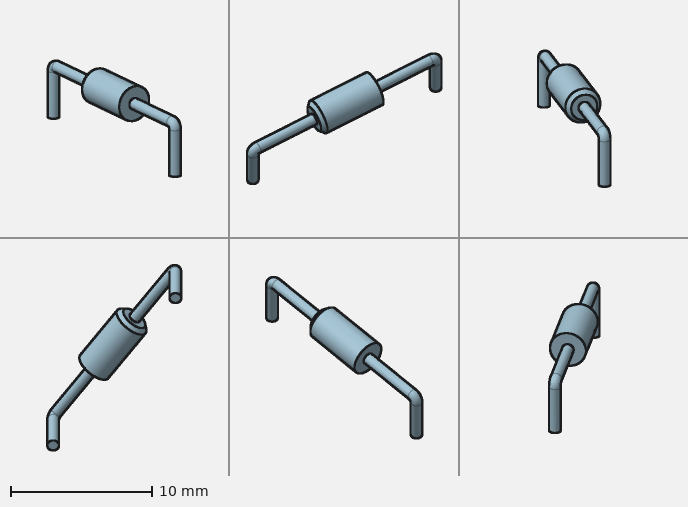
import cadquery as cq
import math

overall_length = 15.94
overall_height = 5.2
barrel_diameter = 2.6
barrel_length = 4.95
barrel_chamfer = 0.33
wire_diameter = 0.85
bend_radius = 0.43

wire_radius = wire_diameter / 2
leg_x = overall_length / 2 - wire_radius
bend_start_x = leg_x - bend_radius
leg_bottom_z = barrel_diameter / 2 - overall_height


def make_barrel():
    """Cylinder along X, chamfered at its -X end only."""
    barrel = cq.Workplane("YZ", origin=(-barrel_length / 2, 0, 0))
    barrel = barrel.circle(barrel_diameter / 2).extrude(barrel_length)
    return barrel.faces("<X").chamfer(barrel_chamfer)


def make_lead(side):
    """Bent wire from a barrel end face; side is -1 for the -X end and +1 for the +X end."""
    start_x = side * barrel_length / 2
    arc_midpoint = (
        side * (bend_start_x + bend_radius * math.sin(math.pi / 4)),
        -bend_radius * (1 - math.cos(math.pi / 4)),
    )
    centreline = (
        cq.Workplane("XZ")
        .moveTo(start_x, 0)
        .lineTo(side * bend_start_x, 0)
        .threePointArc(arc_midpoint, (side * leg_x, -bend_radius))
        .lineTo(side * leg_x, leg_bottom_z)
    )
    return cq.Workplane("YZ", origin=(start_x, 0, 0)).circle(wire_radius).sweep(centreline)


barrel = make_barrel()
leads = [make_lead(side) for side in (-1, 1)]

result = cq.Compound.makeCompound([barrel.val(), *[lead.val() for lead in leads]])